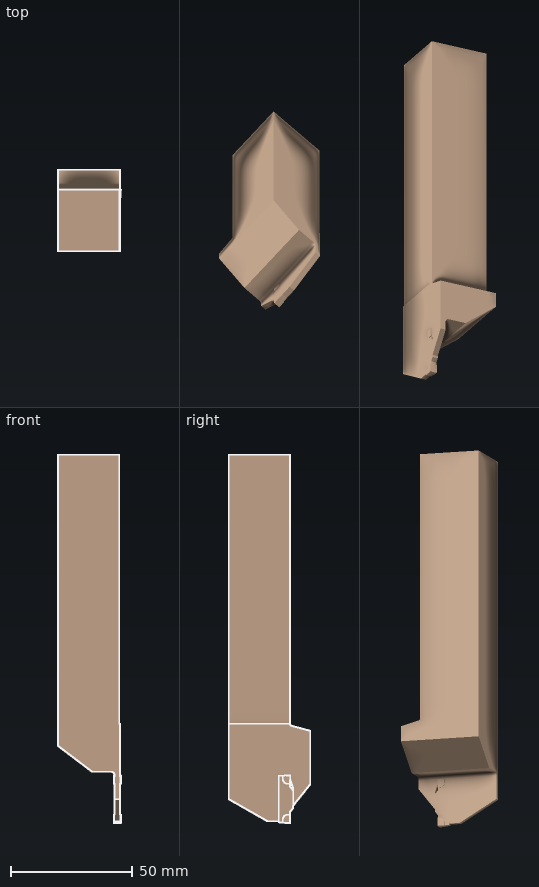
import cadquery as cq
import math

total_height = 152.4
total_depth = 33.8
total_width = 26.05

shank_size = 25.4
head_side_step = 0.3
head_width = shank_size + head_side_step
head_top = 41.2
shoulder_angle = 15.0
shoulder_outer_z = 38.3
shoulder_fillet = 0.8

head_bevel_top = 32.0
head_bevel_end_x = 14.1
head_bottom = 21.3
blade_fillet = 1.3

insert_width = 3.1
blade_thickness = 2.4
blade_center_x = total_width - insert_width / 2
blade_left = head_width - blade_thickness
blade_bottom = 0.9
blade_toe_y = 16.0
blade_heel_z = 10.0
jaw_outer_z = 16.2

edge_y = shank_size
insert_back_y = 20.65
insert_length = 20.0
insert_middle_z = insert_length / 2
insert_ridge_y = 26.63
insert_ridge_half = 3.75
insert_ramp_half = 5.25
relief_angle = 5.0
relief_rise = (edge_y - insert_back_y) * math.tan(math.radians(relief_angle))

lobe_depth = 3.0
lobe_height = 3.6
lobe_radius = 2.0
lobe_root_width = 2.7
tip_corner = 0.3

jaw_contact_z = 7.2
jaw_lip_z = 14.5
jaw_end_z = 18.2


def side_outline(points):
    """Closed (y, z) outline on the plane X = 0, extruding toward +X."""
    return cq.Workplane("YZ").polyline(points).close()


def make_insert():
    """Dog-bone insert: blade-thick body with a wider lobe at each cutting edge."""
    profile = [
        (edge_y, 0),
        (edge_y, insert_middle_z - insert_ramp_half),
        (insert_ridge_y, insert_middle_z - insert_ridge_half),
        (insert_ridge_y, insert_middle_z + insert_ridge_half),
        (edge_y, insert_middle_z + insert_ramp_half),
        (edge_y, insert_length),
        (insert_back_y, insert_length - relief_rise),
        (insert_back_y, relief_rise),
    ]
    body = side_outline(profile).extrude(blade_thickness).translate((blade_left, 0, 0))
    lower_lobe = make_lobe()
    upper_lobe = lower_lobe.mirror("XY", (0, 0, insert_middle_z))
    return body.union(lower_lobe).union(upper_lobe)


def make_lobe():
    """Lower lobe: a round-cornered pad that narrows across X away from the cutting edge."""
    lobe_back_y = edge_y - lobe_depth
    relief_at_back = lobe_depth * math.tan(math.radians(relief_angle))
    pad = (
        side_outline([
            (edge_y, 0),
            (edge_y, lobe_height),
            (lobe_back_y, lobe_height),
            (lobe_back_y, relief_at_back),
        ])
        .extrude(total_width)
        .edges(cq.selectors.NearestToPointSelector((total_width / 2, lobe_back_y, lobe_height)))
        .fillet(lobe_radius)
    )
    half_tip = insert_width / 2
    half_root = lobe_root_width / 2
    taper = (
        cq.Workplane("XY", origin=(blade_center_x, 0, 0))
        .polyline([(-half_tip, edge_y), (half_tip, edge_y), (half_root, lobe_back_y), (-half_root, lobe_back_y)])
        .close()
        .extrude(lobe_height)
    )
    tip_outline = (
        cq.Workplane("XZ", origin=(blade_center_x, 0, 0))
        .polyline([
            (-half_tip + tip_corner, 0),
            (half_tip - tip_corner, 0),
            (half_tip, tip_corner),
            (half_tip, lobe_height),
            (-half_tip, lobe_height),
            (-half_tip, tip_corner),
        ])
        .close()
        .extrude(-total_depth)
    )
    return pad.intersect(taper).intersect(tip_outline)


def make_shank():
    """Square bar standing on the head."""
    return (
        cq.Workplane("XY", origin=(0, 0, head_top))
        .rect(shank_size, shank_size, centered=False)
        .extrude(total_height - head_top)
    )


def make_head():
    """Head with the blade: its side outline limited by its front outline."""
    shoulder_rise = (total_depth - shank_size) * math.tan(math.radians(shoulder_angle))
    shoulder_inner_z = shoulder_outer_z + shoulder_rise
    side = side_outline([
        (0, head_top),
        (shank_size, head_top),
        (shank_size, shoulder_inner_z),
        (total_depth, shoulder_outer_z),
        (total_depth, jaw_outer_z),
        (insert_ridge_y, jaw_contact_z),
        (insert_back_y, jaw_contact_z),
        (insert_back_y, blade_bottom),
        (blade_toe_y, blade_bottom),
        (0, blade_heel_z),
    ]).extrude(head_width)
    shoulder_corner = (head_width / 2, shank_size, shoulder_inner_z)
    side = side.edges(cq.selectors.NearestToPointSelector(shoulder_corner)).fillet(shoulder_fillet)
    front = (
        cq.Workplane("XZ")
        .moveTo(0, head_top)
        .lineTo(0, head_bevel_top)
        .lineTo(head_bevel_end_x, head_bottom)
        .lineTo(blade_left - blade_fillet, head_bottom)
        .radiusArc((blade_left, head_bottom - blade_fillet), blade_fillet)
        .lineTo(blade_left, 0)
        .lineTo(head_width, 0)
        .lineTo(head_width, head_top)
        .close()
        .extrude(-total_depth)
    )
    return side.intersect(front)


def make_jaw_gap():
    """Open space between the jaw lip and the upper end of the insert."""
    return side_outline([
        (insert_back_y, jaw_contact_z),
        (insert_ridge_y, jaw_contact_z),
        (insert_ridge_y, jaw_lip_z),
        (edge_y, jaw_end_z),
        (insert_back_y, jaw_end_z),
    ]).extrude(total_width)


insert = make_insert()
holder = make_shank().union(make_head()).cut(make_jaw_gap()).cut(insert)

result = cq.Compound.makeCompound([holder.val(), insert.val()])